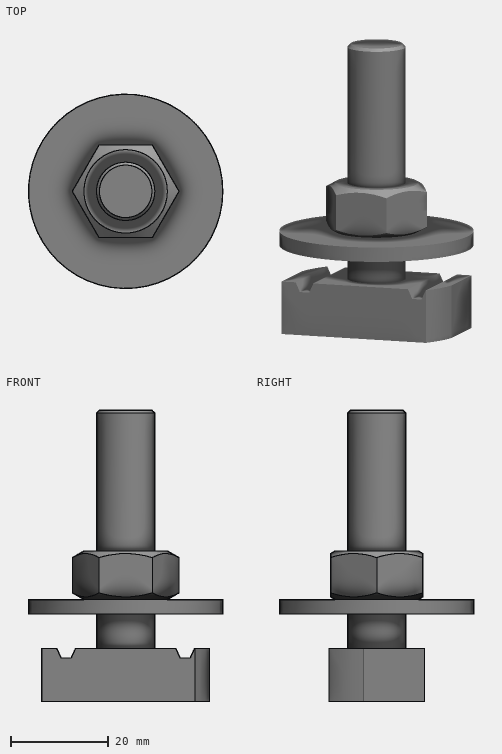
import cadquery as cq
import math

head_half_length = 17.3
head_half_width = 9.85
head_height = 11.0
corner_start_x = 14.2
corner_start_y = 2.75
corner_radius = 17.5

groove_offset = 12.25
groove_top_width = 3.85
groove_floor_width = 2.05
groove_depth = 2.0

total_height = 60
shank_diameter = 12
tip_chamfer = 0.6

washer_diameter = 40.0
washer_thickness = 3
washer_bottom = 18
washer_top = washer_bottom + washer_thickness

nut_height = 10.0
nut_across_flats = 19.0
nut_across_corners = nut_across_flats / math.cos(math.radians(30))
nut_face_diameter = 17.15
nut_chamfer_angle = 30


def make_head():
    """Block with two diagonally opposite corners rounded and two grooves."""
    block = (
        cq.Workplane("XY")
        .moveTo(-head_half_length, -head_half_width)
        .lineTo(corner_start_x, -head_half_width)
        .radiusArc((head_half_length, -corner_start_y), -corner_radius)
        .lineTo(head_half_length, head_half_width)
        .lineTo(-corner_start_x, head_half_width)
        .radiusArc((-head_half_length, corner_start_y), -corner_radius)
        .close()
        .extrude(head_height)
    )
    for side in (-1, 1):
        block = block.cut(make_groove(side * groove_offset))
    return block


def make_groove(center_x):
    """Trapezoidal cutter running along Y through the full head width."""
    floor_z = head_height - groove_depth
    return (
        cq.Workplane("XZ")
        .moveTo(center_x - groove_top_width / 2, head_height)
        .lineTo(center_x - groove_floor_width / 2, floor_z)
        .lineTo(center_x + groove_floor_width / 2, floor_z)
        .lineTo(center_x + groove_top_width / 2, head_height)
        .close()
        .extrude(head_half_width, both=True)
    )


def make_shank():
    return (
        cq.Workplane("XY", origin=(0, 0, head_height))
        .circle(shank_diameter / 2)
        .extrude(total_height - head_height)
        .faces(">Z")
        .chamfer(tip_chamfer)
    )


def make_washer():
    return (
        cq.Workplane("XY", origin=(0, 0, washer_bottom))
        .circle(washer_diameter / 2)
        .extrude(washer_thickness)
    )


def make_nut():
    """Hexagonal prism whose corners are trimmed by a cone at each end."""
    hexagon = (
        cq.Workplane("XY", origin=(0, 0, washer_top))
        .polygon(6, nut_across_corners)
        .extrude(nut_height)
    )
    face_radius = nut_face_diameter / 2
    corner_radius_of_nut = nut_across_corners / 2
    chamfer_height = (corner_radius_of_nut - face_radius) * math.tan(math.radians(nut_chamfer_angle))
    nut_top = washer_top + nut_height
    envelope = (
        cq.Workplane("XZ")
        .moveTo(0, washer_top)
        .lineTo(face_radius, washer_top)
        .lineTo(corner_radius_of_nut, washer_top + chamfer_height)
        .lineTo(corner_radius_of_nut, nut_top - chamfer_height)
        .lineTo(face_radius, nut_top)
        .lineTo(0, nut_top)
        .close()
        .revolve(360, (0, 0, 0), (0, 1, 0))
    )
    return hexagon.intersect(envelope)


result = make_head().union(make_shank()).union(make_washer()).union(make_nut())